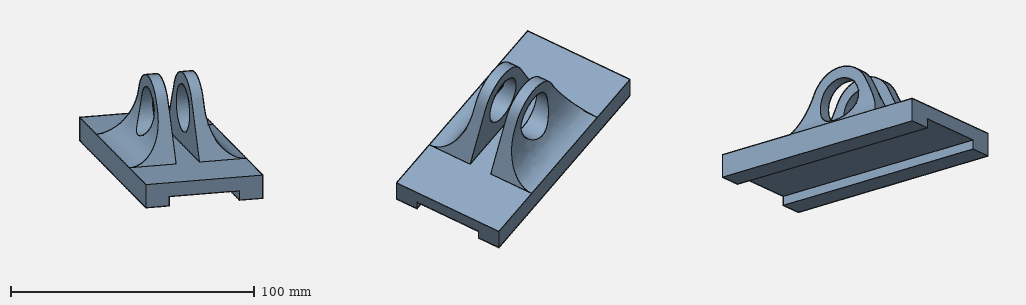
import cadquery as cq
import math

base_length = 100
base_width = 50
base_height = 10
channel_width = 30
channel_depth = 4

lug_gap = 10
lug_thickness = 5
lug_foot_width = 50
eye_height = 26
eye_radius = 15
bore_radius = 10
side_joint_height = 32
flare_top = 30

inner_face = lug_gap / 2
outer_face = inner_face + lug_thickness
plate_edge = base_width / 2
lug_top = eye_height + eye_radius


def make_base():
    plate = cq.Workplane("XY").box(
        base_length, base_width, base_height, centered=(True, True, False)
    )
    channel = cq.Workplane("XY").box(
        base_length, channel_width, channel_depth, centered=(True, True, False)
    )
    return plate.cut(channel)


def make_lug_outline():
    """Tapered sides under a round eye with its bore, extruded from the plate edge inward."""
    foot_x = lug_foot_width / 2
    joint_x = math.sqrt(eye_radius**2 - (side_joint_height - eye_height) ** 2)
    return (
        cq.Workplane("XZ", origin=(0, plate_edge, 0))
        .moveTo(-foot_x, base_height)
        .lineTo(foot_x, base_height)
        .lineTo(joint_x, side_joint_height)
        .threePointArc((0, lug_top), (-joint_x, side_joint_height))
        .close()
        .moveTo(0, eye_height)
        .circle(bore_radius)
        .extrude(plate_edge)
    )


def make_lug_section():
    """Upright lug whose outer face flares in a quarter ellipse to the plate edge."""
    flare_width = plate_edge - outer_face
    flare_rise = flare_top - base_height
    return (
        cq.Workplane("YZ", origin=(-lug_foot_width / 2, 0, 0))
        .moveTo(inner_face, base_height)
        .lineTo(inner_face, lug_top)
        .lineTo(outer_face, lug_top)
        .lineTo(outer_face, flare_top)
        .ellipseArc(flare_width, flare_rise, 180, 270, sense=1)
        .close()
        .extrude(lug_foot_width)
    )


lug = make_lug_outline().intersect(make_lug_section())
opposite_lug = lug.mirror("XZ")
result = make_base().union(lug).union(opposite_lug)